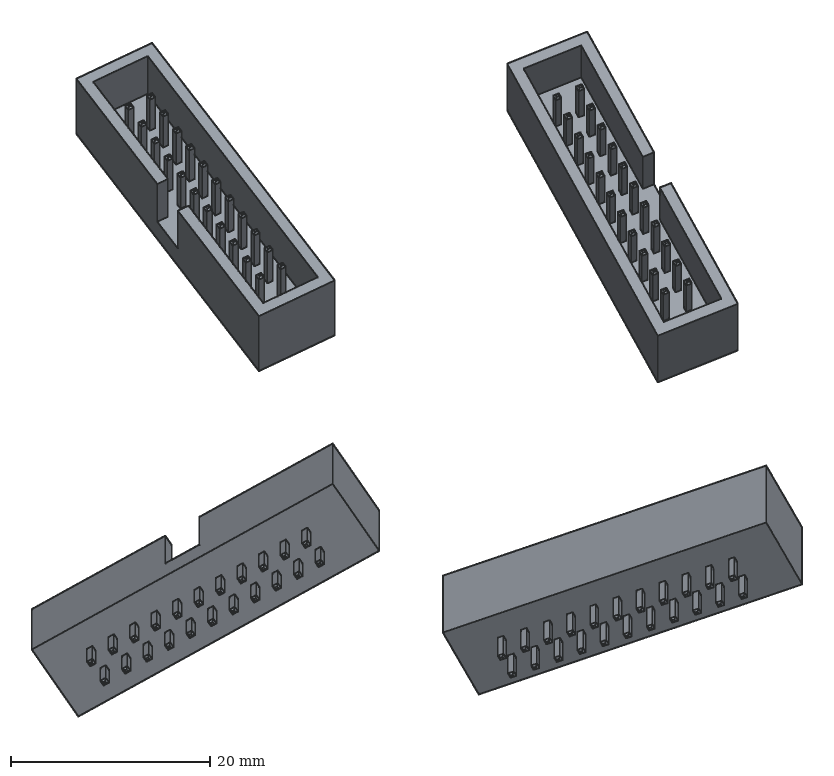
import cadquery as cq

body_length = 35.56
body_width = 8.9
body_height = 8.9

cavity_length = 33.1
cavity_width = 6.4
cavity_depth = 6.1
notch_width = 4.0

pitch = 2.54
pins_per_row = 11
row_count = 2
pin_size = 0.64
pin_below = 3.0
pin_top_gap = 0.9
tip_chamfer = 0.2

floor_height = body_height - cavity_depth
pin_length = pin_below + body_height - pin_top_gap


def make_housing():
    """Rectangular block with the bottom face at Z = 0."""
    return cq.Workplane("XY").box(body_length, body_width, body_height, centered=(True, True, False))


def make_cavity():
    """Rectangular pocket volume, open at the rim."""
    return (
        cq.Workplane("XY", origin=(0, 0, floor_height))
        .box(cavity_length, cavity_width, cavity_depth, centered=(True, True, False))
    )


def make_notch():
    """Slot volume from the middle of the cavity out through the -Y wall, down to the floor."""
    slot_length = body_width / 2
    return (
        cq.Workplane("XY", origin=(0, -slot_length / 2, floor_height))
        .box(notch_width, slot_length, cavity_depth, centered=(True, True, False))
    )


def make_pins():
    """Straight square pins, chamfered at both tips."""
    return (
        cq.Workplane("XY", origin=(0, 0, -pin_below))
        .rarray(pitch, pitch, pins_per_row, row_count)
        .rect(pin_size, pin_size)
        .extrude(pin_length)
        .faces("<Z or >Z")
        .chamfer(tip_chamfer)
    )


result = make_housing().cut(make_cavity()).cut(make_notch()).union(make_pins())